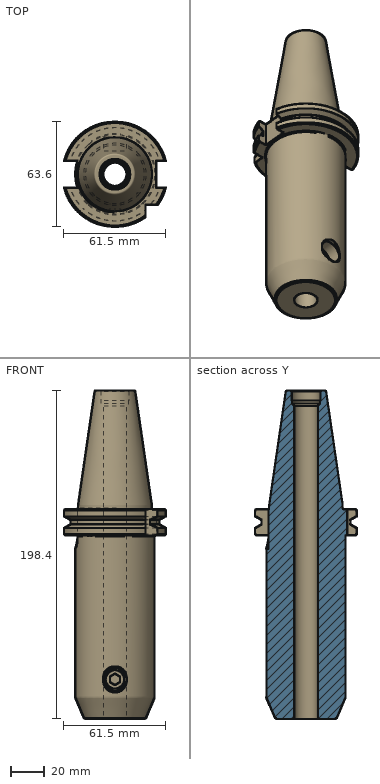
import cadquery as cq
import math

TAPER_TOP = 68.4
NOSE_END = -130.0
FLANGE_TOP = -3.2
FLANGE_BOTTOM = -19.1
GROOVE_CENTRE = -11.1
BODY_END = -117.0

GAUGE_RADIUS = 44.45 / 2
TAPER_RATIO = 7 / 24
TAPER_TOP_RADIUS = GAUGE_RADIUS - TAPER_TOP * TAPER_RATIO / 2
TAPER_TOP_FILLET = 1.0

COLLAR_TOP = -1.0
COLLAR_RADIUS = GAUGE_RADIUS - COLLAR_TOP * TAPER_RATIO / 2

ROOT_FILLET = 0.6

FLANGE_RADIUS = 63.55 / 2
FLANGE_CHAMFER = 0.8
GROOVE_RADIUS = 56.25 / 2
GROOVE_MOUTH = 7.07
GROOVE_FLANK_ANGLE = 30.0
GROOVE_DEPTH = FLANGE_RADIUS - GROOVE_RADIUS
GROOVE_FLOOR = GROOVE_MOUTH - 2 * GROOVE_DEPTH * math.tan(math.radians(GROOVE_FLANK_ANGLE))
GROOVE_FILLET = 0.3

BODY_RADIUS = 24.0
NOSE_RADIUS = 18.5
NOSE_CHAMFER = 0.8
NOSE_BLEND = 2.5

SLOT_WIDTH = 16.1
SLOT_FACE_MINUS_X = 22.6
SLOT_FACE_PLUS_X = 25.0
NOTCH_OFFSET = 18.5

BORE_RADIUS = 7.0
MOUTH_RADIUS = 8.5
MOUTH_DEPTH = 6.0
NECK_RADIUS = 8.3
NECK_DEPTH = 8.0
MOUTH_CHAMFER = 0.75

SCREW_Z = -106.0
SCREW_RADIUS = 7.0
SCREW_CHAMFER = 1.4
SCREW_LENGTH = 12.0
COUNTERSINK_RADIUS = 7.9
COUNTERSINK_HALF_ANGLE = 30.0
HEX_SIDES = 6
HEX_ACROSS_FLATS = 6.0
HEX_DEPTH = 6.0
HEX_TURN = 180 / HEX_SIDES
BALANCE_DEPTH = 10.0

EDGE_TOLERANCE = 0.01


def near_circle(radius, height):
    """Selector for the circular edge of a given radius about Z at a given height."""
    reach = radius + EDGE_TOLERANCE
    return cq.selectors.BoxSelector(
        (-reach, -reach, height - EDGE_TOLERANCE), (reach, reach, height + EDGE_TOLERANCE), boundingbox=True
    )


def make_turned_body():
    """Outer profile (radius, Z) revolved about the Z axis."""
    rim_radius = FLANGE_RADIUS - FLANGE_CHAMFER
    groove_mouth_top = GROOVE_CENTRE + GROOVE_MOUTH / 2
    groove_mouth_bottom = GROOVE_CENTRE - GROOVE_MOUTH / 2
    profile = [
        (0, TAPER_TOP),
        (TAPER_TOP_RADIUS, TAPER_TOP),
        (COLLAR_RADIUS, COLLAR_TOP),
        (COLLAR_RADIUS, FLANGE_TOP),
        (rim_radius, FLANGE_TOP),
        (FLANGE_RADIUS, FLANGE_TOP - FLANGE_CHAMFER),
        (FLANGE_RADIUS, groove_mouth_top),
        (GROOVE_RADIUS, GROOVE_CENTRE + GROOVE_FLOOR / 2),
        (GROOVE_RADIUS, GROOVE_CENTRE - GROOVE_FLOOR / 2),
        (FLANGE_RADIUS, groove_mouth_bottom),
        (FLANGE_RADIUS, FLANGE_BOTTOM + FLANGE_CHAMFER),
        (rim_radius, FLANGE_BOTTOM),
        (BODY_RADIUS, FLANGE_BOTTOM),
        (BODY_RADIUS, BODY_END),
        (NOSE_RADIUS, NOSE_END),
        (0, NOSE_END),
    ]
    turned = cq.Workplane("XZ").polyline(profile).close().revolve(360, (0, 0, 0), (0, 1, 0))
    turned = turned.faces("<Z").edges().chamfer(NOSE_CHAMFER)
    turned = turned.faces(">Z").edges().fillet(TAPER_TOP_FILLET)
    turned = turned.edges(near_circle(BODY_RADIUS, BODY_END)).fillet(NOSE_BLEND)
    for radius, height, fillet in [
        (COLLAR_RADIUS, FLANGE_TOP, ROOT_FILLET),
        (GROOVE_RADIUS, GROOVE_CENTRE + GROOVE_FLOOR / 2, GROOVE_FILLET),
        (GROOVE_RADIUS, GROOVE_CENTRE - GROOVE_FLOOR / 2, GROOVE_FILLET),
        (BODY_RADIUS, FLANGE_BOTTOM, ROOT_FILLET),
    ]:
        turned = turned.edges(near_circle(radius, height)).fillet(fillet)
    return turned


def make_drive_slot(side, face_distance):
    """Cutter for a drive slot with a round lower end; side is -1 for -X and +1 for +X."""
    slot_radius = SLOT_WIDTH / 2
    cutter = (
        cq.Workplane("YZ")
        .moveTo(-slot_radius, 0)
        .lineTo(-slot_radius, FLANGE_BOTTOM)
        .threePointArc((0, FLANGE_BOTTOM - slot_radius), (slot_radius, FLANGE_BOTTOM))
        .lineTo(slot_radius, 0)
        .close()
        .extrude(side * FLANGE_RADIUS)
    )
    return cutter.translate((side * face_distance, 0, 0))


def make_orientation_notch():
    """Square corner cutter through the whole flange thickness."""
    height = FLANGE_TOP - FLANGE_BOTTOM
    block = cq.Workplane("XY").box(FLANGE_RADIUS, FLANGE_RADIUS, height, centered=False)
    return block.translate((NOTCH_OFFSET, -NOTCH_OFFSET - FLANGE_RADIUS, FLANGE_BOTTOM))


def make_bore():
    """Through bore with a wider, chamfered mouth at the taper end."""
    mouth_floor = TAPER_TOP - MOUTH_DEPTH
    neck_floor = TAPER_TOP - NECK_DEPTH
    profile = [
        (0, NOSE_END),
        (BORE_RADIUS, NOSE_END),
        (BORE_RADIUS, neck_floor - (NECK_RADIUS - BORE_RADIUS)),
        (NECK_RADIUS, neck_floor),
        (NECK_RADIUS, mouth_floor - (MOUTH_RADIUS - NECK_RADIUS)),
        (MOUTH_RADIUS, mouth_floor),
        (MOUTH_RADIUS, TAPER_TOP - MOUTH_CHAMFER),
        (MOUTH_RADIUS + MOUTH_CHAMFER, TAPER_TOP),
        (0, TAPER_TOP),
    ]
    return cq.Workplane("XZ").polyline(profile).close().revolve(360, (0, 0, 0), (0, 1, 0))


def side_plane(side):
    """Plane tangent to the body at the screw height, facing -Y (side -1) or +Y (side +1)."""
    return cq.Plane(origin=(0, side * BODY_RADIUS, SCREW_Z), xDir=(1, 0, 0), normal=(0, side, 0))


def make_countersink(side):
    """Cone at a radial hole, reaching down to the hole radius."""
    depth = (COUNTERSINK_RADIUS - SCREW_RADIUS) / math.tan(math.radians(COUNTERSINK_HALF_ANGLE))
    plane = side_plane(side)
    cone = cq.Solid.makeCone(COUNTERSINK_RADIUS, SCREW_RADIUS, depth, plane.origin, -plane.zDir)
    return cq.Workplane(cone)


def make_screw():
    """Set screw with a chamfered outer end, ending short of the bore."""
    screw = cq.Workplane(side_plane(-1)).circle(SCREW_RADIUS).extrude(-SCREW_LENGTH)
    return screw.faces("<Y").chamfer(SCREW_CHAMFER)


def make_hex_socket():
    """Cutter for the hexagon socket, with two flats parallel to Z."""
    corner_diameter = HEX_ACROSS_FLATS / math.cos(math.pi / HEX_SIDES)
    tilted = cq.Workplane(side_plane(-1)).transformed(rotate=(0, 0, HEX_TURN))
    return tilted.polygon(HEX_SIDES, corner_diameter).extrude(-HEX_DEPTH)


def make_balance_hole():
    """Blind radial hole on the +Y side."""
    return cq.Workplane(side_plane(1)).circle(SCREW_RADIUS).extrude(-BALANCE_DEPTH)


result = (
    make_turned_body()
    .cut(make_drive_slot(-1, SLOT_FACE_MINUS_X))
    .cut(make_drive_slot(1, SLOT_FACE_PLUS_X))
    .cut(make_orientation_notch())
    .cut(make_bore())
    .cut(make_balance_hole())
    .cut(make_countersink(-1))
    .cut(make_countersink(1))
    .union(make_screw())
    .cut(make_hex_socket())
)